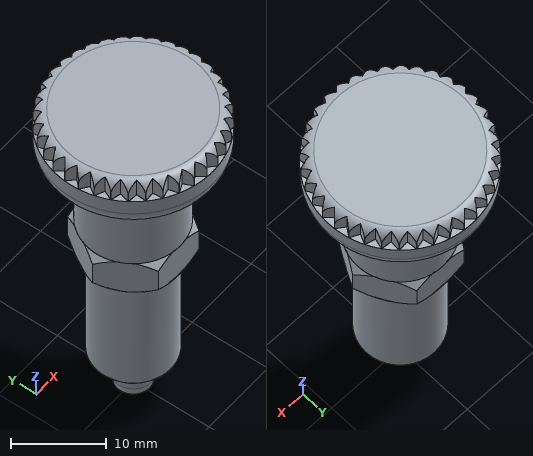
import cadquery as cq
import math

PIN_LENGTH = 5.0
BODY_LENGTH = 17.0
HEX_HEIGHT = 5.0
TOTAL_HEIGHT = 45.0
BODY_TOP = PIN_LENGTH + BODY_LENGTH
HEX_TOP = BODY_TOP + HEX_HEIGHT

PIN_RADIUS = 5.0 / 2
PIN_DOME_HEIGHT = 0.5
PIN_DOME_RADIUS = 2.15
PIN_TAPER_TOP = 1.8
PIN_DOME_SPHERE_RADIUS = (PIN_DOME_RADIUS**2 + PIN_DOME_HEIGHT**2) / (2 * PIN_DOME_HEIGHT)

BODY_RADIUS = 10.0 / 2
BODY_CHAMFER_HEIGHT = 0.8
BODY_CHAMFER_WIDTH = 0.65

HEX_ACROSS_FLATS = 12.0
HEX_CORNER_RADIUS = HEX_ACROSS_FLATS / math.sqrt(3)
HEX_CONE_RADIUS = 5.95
HEX_CONE_HEIGHT = HEX_CORNER_RADIUS - HEX_CONE_RADIUS

HEAD_RADIUS = 21.0 / 2
HEAD_HEIGHT = 7.0
HEAD_TOP_FILLET = 1.5
HEAD_BOTTOM_FILLET = 2.5
SLEEVE_RADIUS = 12.4 / 2
SLEEVE_FILLET = 1.0
HEAD_BOTTOM = TOTAL_HEIGHT - HEAD_HEIGHT

NOTCH_COUNT = 36
NOTCH_PITCH = 360 / NOTCH_COUNT
NOTCH_HEIGHT = 2.48
NOTCH_DEPTH = 0.95
NOTCH_OVERCUT = 0.45


def revolve_about_z(profile):
    """Turn a closed half profile (radius, height) into a solid about the Z axis."""
    return profile.close().revolve(360, (0, 0, 0), (0, 1, 0))


def make_hexagon():
    """Hexagonal prism whose corners are trimmed by a cone at each end."""
    prism = (
        cq.Workplane("XY", origin=(0, 0, BODY_TOP))
        .polygon(6, 2 * HEX_CORNER_RADIUS)
        .extrude(HEX_HEIGHT)
    )
    trimming_cones = revolve_about_z(
        cq.Workplane("XZ")
        .moveTo(0, BODY_TOP)
        .lineTo(HEX_CONE_RADIUS, BODY_TOP)
        .lineTo(HEX_CORNER_RADIUS, BODY_TOP + HEX_CONE_HEIGHT)
        .lineTo(HEX_CORNER_RADIUS, HEX_TOP - HEX_CONE_HEIGHT)
        .lineTo(HEX_CONE_RADIUS, HEX_TOP)
        .lineTo(0, HEX_TOP)
    )
    return prism.intersect(trimming_cones)


def make_plunger_body():
    """Pin, chamfered cylinder and hexagon in one piece."""
    turned = revolve_about_z(
        cq.Workplane("XZ")
        .moveTo(0, 0)
        .radiusArc((PIN_DOME_RADIUS, PIN_DOME_HEIGHT), -PIN_DOME_SPHERE_RADIUS)
        .lineTo(PIN_RADIUS, PIN_TAPER_TOP)
        .lineTo(PIN_RADIUS, PIN_LENGTH)
        .lineTo(BODY_RADIUS - BODY_CHAMFER_WIDTH, PIN_LENGTH)
        .lineTo(BODY_RADIUS, PIN_LENGTH + BODY_CHAMFER_HEIGHT)
        .lineTo(BODY_RADIUS, HEX_TOP)
        .lineTo(0, HEX_TOP)
    )
    return turned.union(make_hexagon())


def make_notch_cutter():
    """Triangular prism on the +X side of the rim, its sharp edge towards the axis."""
    root_radius = HEAD_RADIUS - NOTCH_DEPTH
    reach = NOTCH_DEPTH + NOTCH_OVERCUT
    return (
        cq.Workplane("XY", origin=(0, 0, TOTAL_HEIGHT - NOTCH_HEIGHT))
        .moveTo(root_radius, 0)
        .lineTo(root_radius + reach, -reach)
        .lineTo(root_radius + reach, reach)
        .close()
        .extrude(NOTCH_HEIGHT + NOTCH_OVERCUT)
    )


def make_knob():
    """Rounded head and sleeve, with grip notches cut into the head rim."""
    knob = revolve_about_z(
        cq.Workplane("XZ")
        .moveTo(0, HEX_TOP)
        .lineTo(SLEEVE_RADIUS, HEX_TOP)
        .lineTo(SLEEVE_RADIUS, HEAD_BOTTOM - SLEEVE_FILLET)
        .radiusArc((SLEEVE_RADIUS + SLEEVE_FILLET, HEAD_BOTTOM), SLEEVE_FILLET)
        .lineTo(HEAD_RADIUS - HEAD_BOTTOM_FILLET, HEAD_BOTTOM)
        .radiusArc((HEAD_RADIUS, HEAD_BOTTOM + HEAD_BOTTOM_FILLET), -HEAD_BOTTOM_FILLET)
        .lineTo(HEAD_RADIUS, TOTAL_HEIGHT - HEAD_TOP_FILLET)
        .radiusArc((HEAD_RADIUS - HEAD_TOP_FILLET, TOTAL_HEIGHT), -HEAD_TOP_FILLET)
        .lineTo(0, TOTAL_HEIGHT)
    )
    cutter = make_notch_cutter()
    for index in range(NOTCH_COUNT):
        knob = knob.cut(cutter.rotate((0, 0, 0), (0, 0, 1), index * NOTCH_PITCH))
    return knob


plunger_body = make_plunger_body()
knob = make_knob()
result = cq.Compound.makeCompound([plunger_body.val(), knob.val()])